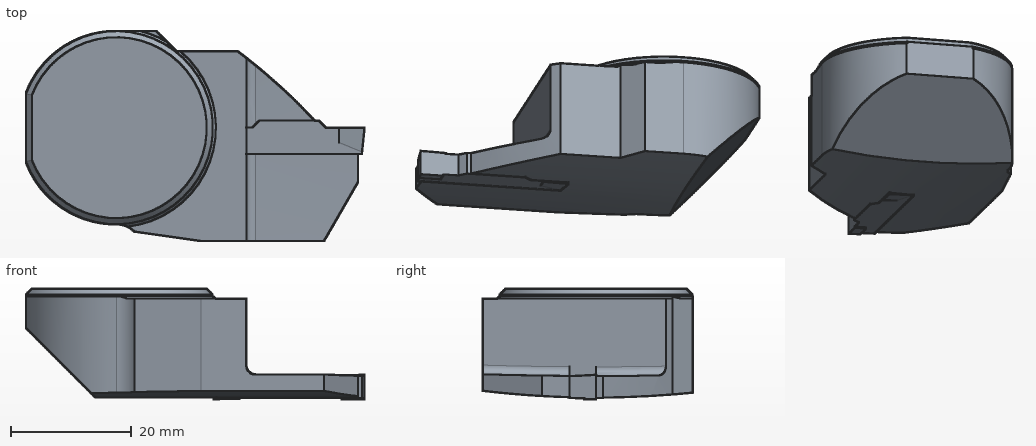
import cadquery as cq
import math


disc_height = 1.7
disc_radius = 16.0
disc_chamfer = 1.0
shoulder_radius = 16.05
collar_radius = 16.5
collar_height = 0.45
flat_x = -15.0
bevel_depth = 4.8

back_y = 12.7
front_y = -18.8
wall_x = 21.55
plate_end_x = 40.05
plate_top_z = -12.8
plate_trough_radius = 617.1
wall_fillet = 1.5
underside_z = -16.4
underside_radius = 157.1
cut_span = 112.2

insert_center_x = 28.6
insert_end_x = 41.1
insert_half_length = insert_end_x - insert_center_x
insert_back_y = 0.0
insert_front_y = -4.4
insert_bottom_z = -16.45
insert_height = 3.65
insert_top_z = insert_bottom_z + insert_height
insert_mid_z = insert_bottom_z + insert_height / 2
end_taper = 0.45
tab_depth = 1.2
tab_half_length = 4.95
tip_rise = 0.2
tip_start_x = 36.85
tip_line_start = (37.0, -2.5)
tip_line_end = (40.75, -4.05)
heel_length = 3.8
heel_width = 1.95


def make_outline_solid():
    """Plan outline of the block and plate, from the block top to below the underside."""
    depth = 1.1 * abs(underside_z)
    outline = (
        cq.Workplane("XY")
        .moveTo(0, shoulder_radius)
        .lineTo(6.55, shoulder_radius)
        .lineTo(10.0, back_y)
        .lineTo(20.1, back_y)
        .threePointArc((27.4, 6.6), (33.95, insert_back_y))
        .lineTo(plate_end_x, insert_front_y)
        .lineTo(plate_end_x, -9.0)
        .lineTo(34.4, front_y)
        .lineTo(14.0, front_y)
        .lineTo(3.0, -17.2)
        .threePointArc((1.8, -16.4), (0, -shoulder_radius))
        .threePointArc((-shoulder_radius, 0), (0, shoulder_radius))
        .close()
    )
    return outline.extrude(-depth)


def make_underside_cylinder():
    """Large cylinder along X whose lower side is the underside of the holder."""
    return (
        cq.Workplane("YZ", origin=(-cut_span / 2, 0, underside_z + underside_radius))
        .circle(underside_radius)
        .extrude(cut_span)
    )


def make_step_cutter():
    """Space above the plate: a shallow trough with a filleted foot at the block wall."""
    box_height = abs(plate_top_z) + 2 * wall_fillet
    space = (
        cq.Workplane("XY", origin=(wall_x, 0, plate_top_z))
        .box(cut_span, cut_span, box_height, centered=(False, True, False))
    )
    trough = (
        cq.Workplane("YZ", origin=(wall_x, 0, plate_top_z + plate_trough_radius))
        .circle(plate_trough_radius)
        .extrude(cut_span)
    )
    return space.intersect(trough).edges("<X and <Z").fillet(wall_fillet)


def make_bevel_cutter():
    """45 degree bevel below the flat at the rounded end."""
    return (
        cq.Workplane("XZ")
        .moveTo(flat_x, -bevel_depth)
        .lineTo(flat_x + cut_span, -bevel_depth - cut_span)
        .lineTo(flat_x, -bevel_depth - cut_span)
        .close()
        .extrude(cut_span / 2, both=True)
    )


def right_of_flat(solid):
    """Trim a solid to the +X side of the flat."""
    keep = cq.Workplane("XY").box(cut_span, cut_span, cut_span).translate((flat_x + cut_span / 2, 0, 0))
    return solid.intersect(keep)


def make_disc():
    """Chamfered disc with a flat on its -X side."""
    disc = cq.Workplane("XY").circle(disc_radius).extrude(disc_height).faces(">Z").edges().chamfer(disc_chamfer)
    flat_side = (
        cq.Workplane("XZ")
        .moveTo(flat_x, 0)
        .lineTo(flat_x, disc_height - disc_chamfer)
        .lineTo(flat_x + disc_chamfer, disc_height)
        .lineTo(cut_span, disc_height)
        .lineTo(cut_span, 0)
        .close()
        .extrude(cut_span / 2, both=True)
    )
    return disc.intersect(flat_side)


def make_collar(block):
    """Conical collar around the foot of the disc, kept within the block outline."""
    collar = (
        cq.Workplane("XZ")
        .moveTo(0, 0)
        .lineTo(collar_radius, 0)
        .lineTo(disc_radius, collar_height)
        .lineTo(0, collar_height)
        .close()
        .revolve(360, (0, 0, 0), (0, 1, 0))
    )
    return collar.intersect(block.translate((0, 0, collar_height)))


def insert_outline():
    """Plan outline of the insert, with tapered ends and a tab on its back edge."""
    tab_base = tab_half_length + tab_depth
    front_half_length = insert_half_length - end_taper
    tab_y = insert_back_y + tab_depth
    right_side = [
        (front_half_length, insert_front_y),
        (insert_half_length, insert_back_y),
        (tab_base, insert_back_y),
        (tab_half_length, tab_y),
    ]
    left_side = [(-x, y) for x, y in reversed(right_side)]
    return [(insert_center_x + x, y) for x, y in right_side + left_side]


def make_insert_prism(bottom_z, height):
    """Upright prism on the insert outline."""
    return cq.Workplane("XY", origin=(0, 0, bottom_z)).polyline(insert_outline()).close().extrude(height)


def make_tip():
    """Sloping cutting tip on top and shallow heel below, at the +X end of the insert."""
    line_x = tip_line_end[0] - tip_line_start[0]
    line_y = tip_line_end[1] - tip_line_start[1]
    line_length = math.hypot(line_x, line_y)
    uphill = (-line_y / line_length, line_x / line_length, 0)
    run = (
        (insert_end_x - tip_line_start[0]) * uphill[0]
        + (insert_back_y - tip_line_start[1]) * uphill[1]
    )
    slope_plane = cq.Plane(
        origin=(*tip_line_start, insert_top_z), xDir=uphill, normal=(line_x, line_y, 0)
    )
    slope = (
        cq.Workplane(slope_plane)
        .polyline([(0, 0), (run, 0), (run, tip_rise)])
        .close()
        .extrude(2 * line_length, both=True)
    )
    end_box = (
        cq.Workplane("XY", origin=(tip_start_x, 0, insert_top_z))
        .box(cut_span, cut_span, tip_rise, centered=(False, True, False))
    )
    tip = slope.intersect(end_box).intersect(make_insert_prism(insert_top_z, tip_rise))

    heel_z = insert_bottom_z - tip_rise
    heel_box = (
        cq.Workplane("XY", origin=(insert_end_x - heel_length, insert_back_y - heel_width, heel_z))
        .box(heel_length, heel_width, tip_rise, centered=False)
    )
    heel = heel_box.intersect(make_insert_prism(heel_z, tip_rise))
    return tip, heel


def make_insert():
    """Insert with a tip at each end, the second one turned half a turn about the Y direction."""
    insert = make_insert_prism(insert_bottom_z, insert_height)
    turn_start = (insert_center_x, 0, insert_mid_z)
    turn_end = (insert_center_x, 1, insert_mid_z)
    for turn in (0, 180):
        for detail in make_tip():
            insert = insert.union(detail.rotate(turn_start, turn_end, turn))
    return insert


def make_holder(insert):
    """Block, plate and disc in one piece, with a seat for the insert."""
    block = right_of_flat(make_outline_solid())
    collar = make_collar(block)
    block = block.intersect(make_underside_cylinder()).cut(make_step_cutter()).cut(make_bevel_cutter())
    holder = block.union(collar).union(make_disc())

    beyond_wall = (
        cq.Workplane("XY", origin=(wall_x, 0, 0))
        .box(cut_span, cut_span, cut_span, centered=(False, True, True))
    )
    open_seat = make_insert_prism(insert_mid_z, abs(insert_mid_z)).intersect(beyond_wall)
    return holder.cut(insert).cut(open_seat)


insert = make_insert()
holder = make_holder(insert)
result = cq.Compound.makeCompound([holder.solids().val(), insert.solids().val()])